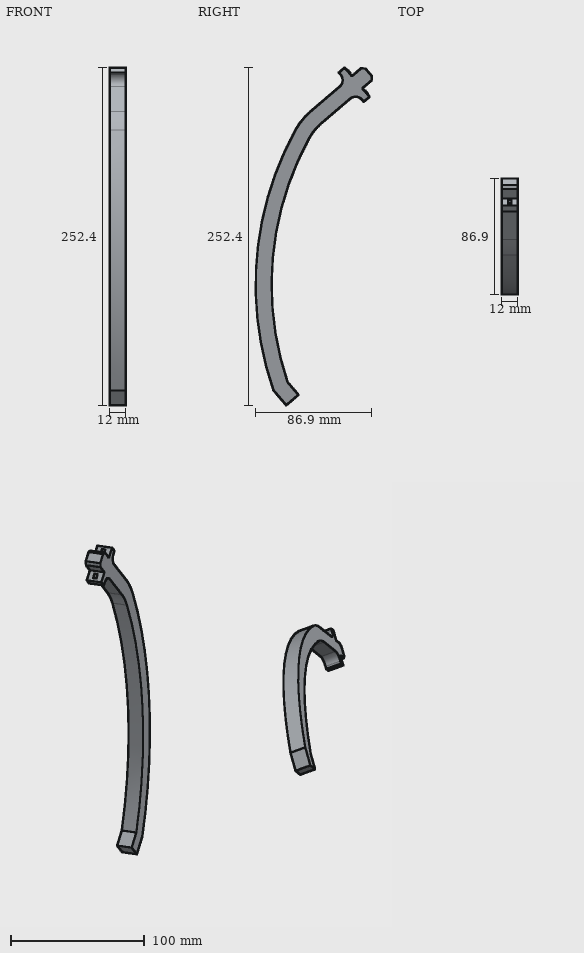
import cadquery as cq
import math

thickness = 12.0
width = 12.0
half = width / 2

bow_y = 239.5
bow_z = 90.0
bow_radius = 233.3
bend_radius = 44.1

slope = math.radians(40.5)
shoulder_y = 76.0
shoulder_z = 241.5
tongue_length = 11.4
tongue_chamfer = 2.3
arm_length = 8.3
arm_thickness = 5.8
neck_fillet = 6.3

pad_width = 2.5
pad_length = 3.5
pad_height = 0.5
pad_sink = 1.3

tail_y = 23.0
tail_z = 0.0

down = (-math.cos(slope), -math.sin(slope))
outward = (-math.sin(slope), math.cos(slope))


def neck_point(along, across):
    """YZ point measured from the head's shoulder, along and across the neck axis."""
    return (
        shoulder_y + along * down[0] + across * outward[0],
        shoulder_z + along * down[1] + across * outward[1],
    )


def bow_point(radius, angle):
    """YZ point at a radius and angle about the bow centre; angle 0 points to -Y."""
    return (bow_y - radius * math.cos(angle), bow_z + radius * math.sin(angle))


bow_along = (bow_y - shoulder_y) * down[0] + (bow_z - shoulder_z) * down[1]
bow_across = (bow_y - shoulder_y) * outward[0] + (bow_z - shoulder_z) * outward[1]

bend_across = -bend_radius
bend_along = bow_along + math.sqrt((bow_radius - bend_radius) ** 2 - (bend_across - bow_across) ** 2)
bend_y, bend_z = neck_point(bend_along, bend_across)
bow_top_angle = math.atan2(bend_z - bow_z, bow_y - bend_y)
neck_angle = math.pi / 2 - slope
bend_mid_angle = (bow_top_angle + neck_angle) / 2


def bend_middle(radius):
    return (
        bend_y - radius * math.cos(bend_mid_angle),
        bend_z + radius * math.sin(bend_mid_angle),
    )


def tail_meeting_angle(radius, corner):
    """Bow angle where a tail side, running up from its end corner, meets the bow."""
    to_corner_y = corner[0] - bow_y
    to_corner_z = corner[1] - bow_z
    projection = to_corner_y * outward[0] + to_corner_z * outward[1]
    excess = to_corner_y**2 + to_corner_z**2 - radius**2
    root = math.sqrt(projection**2 - excess)
    travel = min((-projection - root, -projection + root), key=abs)
    meeting_y = to_corner_y + travel * outward[0]
    meeting_z = to_corner_z + travel * outward[1]
    return math.atan2(meeting_z, -meeting_y)


def make_strip():
    outer = bow_radius + half
    inner = bow_radius - half
    tail_outer = (tail_y, tail_z)
    tail_inner = (tail_y - width * down[0], tail_z - width * down[1])
    outer_end = tail_meeting_angle(outer, tail_outer)
    inner_end = tail_meeting_angle(inner, tail_inner)
    outline = (
        cq.Workplane("YZ")
        .moveTo(*neck_point(0, half))
        .lineTo(*neck_point(bend_along, half))
        .threePointArc(bend_middle(bend_radius + half), bow_point(outer, bow_top_angle))
        .threePointArc(bow_point(outer, (bow_top_angle + outer_end) / 2), bow_point(outer, outer_end))
        .lineTo(*tail_outer)
        .lineTo(*tail_inner)
        .lineTo(*bow_point(inner, inner_end))
        .threePointArc(bow_point(inner, (bow_top_angle + inner_end) / 2), bow_point(inner, bow_top_angle))
        .threePointArc(bend_middle(bend_radius - half), neck_point(bend_along, -half))
        .lineTo(*neck_point(0, -half))
        .close()
    )
    return outline.extrude(thickness / 2, both=True)


def make_tongue():
    corners = [
        neck_point(0, half),
        neck_point(-tongue_length + tongue_chamfer, half),
        neck_point(-tongue_length, half - tongue_chamfer),
        neck_point(-tongue_length, -half + tongue_chamfer),
        neck_point(-tongue_length + tongue_chamfer, -half),
        neck_point(0, -half),
    ]
    return cq.Workplane("YZ").polyline(corners).close().extrude(thickness / 2, both=True)


def make_arm(side):
    """Cross arm with a concave fillet into the neck; side is 1 (outer) or -1 (inner)."""
    fillet_chord = neck_fillet * (1 - math.sqrt(0.5))
    fillet_middle = neck_point(arm_thickness + fillet_chord, side * (half + fillet_chord))
    outline = (
        cq.Workplane("YZ")
        .moveTo(*neck_point(0, 0))
        .lineTo(*neck_point(0, side * (half + arm_length)))
        .lineTo(*neck_point(arm_thickness, side * (half + arm_length)))
        .lineTo(*neck_point(arm_thickness, side * (half + neck_fillet)))
        .threePointArc(fillet_middle, neck_point(arm_thickness + neck_fillet, side * half))
        .lineTo(*neck_point(arm_thickness + neck_fillet, 0))
        .close()
    )
    return outline.extrude(thickness / 2, both=True)


def make_pad(side):
    middle = side * (half + arm_length / 2)
    corners = [
        neck_point(-pad_height, middle - pad_length / 2),
        neck_point(-pad_height, middle + pad_length / 2),
        neck_point(pad_sink, middle + pad_length / 2),
        neck_point(pad_sink, middle - pad_length / 2),
    ]
    return cq.Workplane("YZ").polyline(corners).close().extrude(pad_width / 2, both=True)


result = make_strip().union(make_tongue())
for side in (1, -1):
    result = result.union(make_arm(side)).union(make_pad(side))